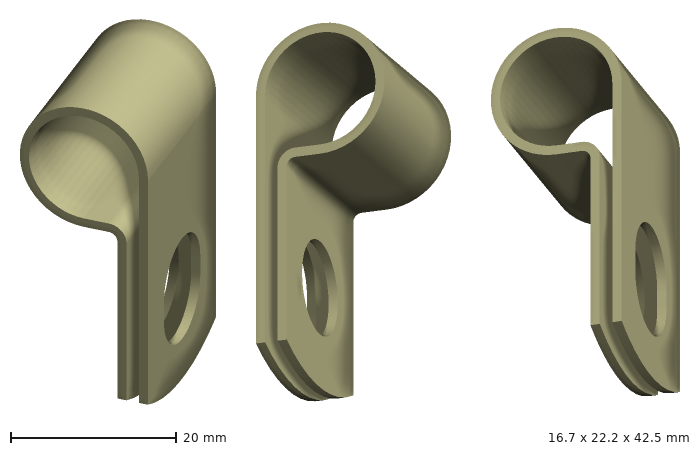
import cadquery as cq
import math

height = 42.45
width = 22.2
outer_diameter = 16.7
thickness = 1.2
leg_gap = 1.6
bend_inner_radius = 1.1
hole_diameter = 11.9
slot_straight = 2.3
hole_height = 12.75
end_rise = 2.55

outer_radius = outer_diameter / 2
inner_radius = outer_radius - thickness
bottom = outer_radius - height
bend_outer_radius = bend_inner_radius + thickness
short_leg_outer = inner_radius - leg_gap
short_leg_inner = short_leg_outer - thickness
bend_x = short_leg_outer - bend_outer_radius
bend_z = -inner_radius - bend_outer_radius
diagonal = math.sqrt(0.5)


def bent_strip():
    """Loop, long leg and short leg bent from one strip of sheet."""
    profile = (
        cq.Workplane("XZ")
        .moveTo(outer_radius, bottom)
        .lineTo(outer_radius, 0)
        .threePointArc((-outer_radius * diagonal, outer_radius * diagonal), (0, -outer_radius))
        .lineTo(bend_x, -outer_radius)
        .threePointArc(
            (bend_x + bend_inner_radius * diagonal, bend_z + bend_inner_radius * diagonal),
            (short_leg_inner, bend_z),
        )
        .lineTo(short_leg_inner, bottom)
        .lineTo(short_leg_outer, bottom)
        .lineTo(short_leg_outer, bend_z)
        .threePointArc(
            (bend_x + bend_outer_radius * diagonal, bend_z + bend_outer_radius * diagonal),
            (bend_x, -inner_radius),
        )
        .lineTo(0, -inner_radius)
        .threePointArc((-inner_radius * diagonal, inner_radius * diagonal), (inner_radius, 0))
        .lineTo(inner_radius, bottom)
        .close()
    )
    return profile.extrude(width / 2, both=True)


def rounded_end_envelope():
    """Block whose lower edge is the arc that both legs end on."""
    return (
        cq.Workplane("YZ")
        .moveTo(-width / 2, outer_radius)
        .lineTo(-width / 2, bottom + end_rise)
        .threePointArc((0, bottom), (width / 2, bottom + end_rise))
        .lineTo(width / 2, outer_radius)
        .close()
        .extrude(outer_radius, both=True)
    )


def round_hole():
    """Cylinder along X that passes through the short leg only."""
    return (
        cq.Workplane("YZ", origin=(short_leg_inner, 0, bottom + hole_height))
        .circle(hole_diameter / 2)
        .extrude(thickness)
    )


def slotted_hole():
    """Upright slot along X that passes through the long leg only."""
    return (
        cq.Workplane("YZ", origin=(inner_radius, 0, bottom + hole_height))
        .slot2D(hole_diameter + slot_straight, hole_diameter, 90)
        .extrude(thickness)
    )


result = bent_strip().intersect(rounded_end_envelope()).cut(round_hole()).cut(slotted_hole())